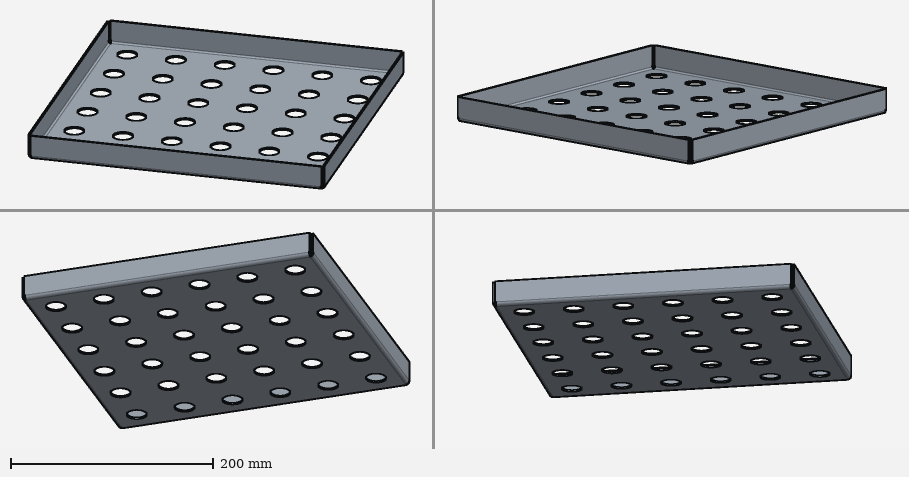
import cadquery as cq

side = 304.0
height = 25.0
thickness = 1.8
outer_bend_radius = 3.5
wall_end_inset = 3.0
hole_diameter = 20.0
holes_per_side = 6
hole_grid_span = 250.0

hole_pitch = hole_grid_span / (holes_per_side - 1)
inner_bend_radius = outer_bend_radius - thickness
floor_side = side - 2 * outer_bend_radius
wall_length = side - 2 * wall_end_inset
wall_height = height - outer_bend_radius


def make_floor():
    """Flat sheet with a square grid of through holes."""
    sheet = cq.Workplane("XY").rect(floor_side, floor_side).extrude(thickness)
    holes = (
        cq.Workplane("XY")
        .rarray(hole_pitch, hole_pitch, holes_per_side, holes_per_side)
        .circle(hole_diameter / 2)
        .extrude(thickness)
    )
    return sheet.cut(holes)


def make_bend():
    """Quarter-round bend along the +X edge of the floor."""
    bend_line = floor_side / 2
    diagonal = 0.5 ** 0.5
    return (
        cq.Workplane("XZ")
        .moveTo(bend_line, 0)
        .threePointArc(
            (bend_line + outer_bend_radius * diagonal, outer_bend_radius * (1 - diagonal)),
            (side / 2, outer_bend_radius),
        )
        .lineTo(side / 2 - thickness, outer_bend_radius)
        .threePointArc(
            (bend_line + inner_bend_radius * diagonal, outer_bend_radius - inner_bend_radius * diagonal),
            (bend_line, thickness),
        )
        .close()
        .extrude(floor_side / 2, both=True)
    )


def make_wall():
    """Upright wall on the +X side, slightly longer than its bend."""
    return (
        cq.Workplane("XY", origin=((side - thickness) / 2, 0, outer_bend_radius))
        .rect(thickness, wall_length)
        .extrude(wall_height)
    )


flange = make_bend().union(make_wall())
result = make_floor()
for quarter_turn in range(4):
    result = result.union(flange.rotate((0, 0, 0), (0, 0, 1), 90 * quarter_turn))